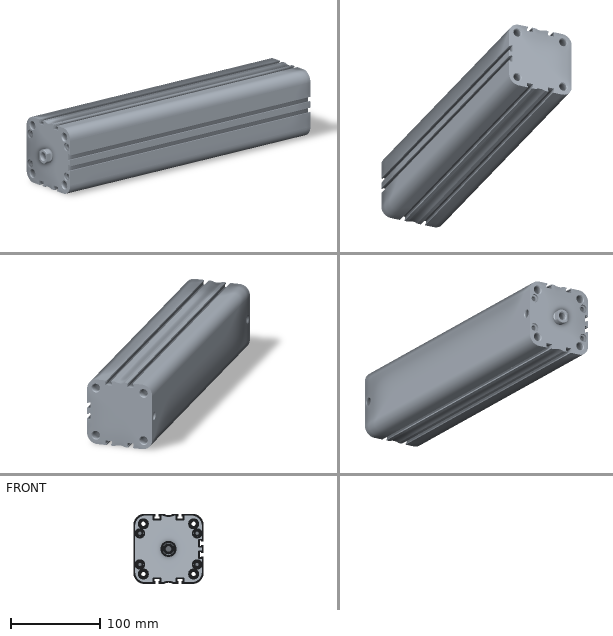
import cadquery as cq

OVERALL_LENGTH = 357.0
BODY_WIDTH = 77.0
CORNER_RADIUS = 12.0
ROD_LENGTH = 8.0
BODY_LENGTH = OVERALL_LENGTH - ROD_LENGTH
HALF_WIDTH = BODY_WIDTH / 2

SLOT_NECK_WIDTH = 5.5
SLOT_WIDTH = 7.5
SLOT_LIP = 1.5
TOP_SLOT_OFFSET = 13.0
TOP_SLOT_DEPTH = 5.5
SIDE_SLOT_OFFSET = 6.5
SIDE_SLOT_DEPTH = 4.3

GROOVE_WIDTH = 11.8
GROOVE_DEPTH = 1.5

CORNER_HOLE_OFFSET = 28.2
CORNER_BORE_DIAMETER = 6.8
CORNER_THREAD_DIAMETER = 8.5
CORNER_THREAD_DEPTH = 16.0
CORNER_MOUTH_DIAMETER = 10.5
CORNER_MOUTH_DEPTH = 1.0

STEPPED_HOLE_X = 32.0
STEPPED_HOLE_Z = 17.5
STEPPED_HOLE_DIAMETER = 9.5
STEPPED_HOLE_DEPTH = 2.0
STEPPED_CORE_DIAMETER = 5.7
STEPPED_CORE_DEPTH = 5.7

PORT_MOUTH_DIAMETER = 9.5
PORT_MOUTH_DEPTH = 0.7
PORT_DIAMETER = 8.5
PORT_DEPTH = 8.0
PORT_CORE_DIAMETER = 4.0
PORT_CORE_DEPTH = 11.5
PORT_CORE_SHIFT = 1.0
FRONT_PORT_INSET = 7.5
REAR_PORT_INSET = 7.0

ROD_DIAMETER = 16.0
ROD_CHAMFER_LENGTH = 1.0
ROD_CHAMFER_DEPTH = 0.5
ROD_COLLAR_LENGTH = 1.0
ROD_FLATS_WIDTH = 13.2
ROD_BORE_DIAMETER = 8.2
ROD_BORE_DEPTH = 16.0
ROD_MOUTH_DIAMETER = 10.5
ROD_MOUTH_DEPTH = 1.0


AXIS_X = cq.Vector(1, 0, 0)
AXIS_Y = cq.Vector(0, 1, 0)


def cylinder(diameter, depth, start, direction):
    """Cylinder from a start point along a direction."""
    return cq.Workplane(cq.Solid.makeCylinder(diameter / 2, depth, start, direction))


def cone_mouth(mouth_diameter, hole_diameter, depth, start, direction):
    """Countersink that narrows from the mouth to the hole."""
    cone = cq.Solid.makeCone(mouth_diameter / 2, hole_diameter / 2, depth, start, direction)
    return cq.Workplane(cone)


def bar(width, height, x, z):
    """Rectangular bar over the full body length, centred on x and z."""
    return cq.Workplane("XY").box(width, BODY_LENGTH, height).translate((x, BODY_LENGTH / 2, z))


def t_slot(offset, depth):
    """T-slot along the body that opens through the top face."""
    neck = bar(SLOT_NECK_WIDTH, depth, offset, HALF_WIDTH - depth / 2)
    foot_height = depth - SLOT_LIP
    foot = bar(SLOT_WIDTH, foot_height, offset, HALF_WIDTH - depth + foot_height / 2)
    return neck.union(foot)


def top_groove():
    """Concave groove in the top face."""
    return (
        cq.Workplane("XZ", origin=(0, BODY_LENGTH, 0))
        .moveTo(-GROOVE_WIDTH / 2, HALF_WIDTH)
        .threePointArc((0, HALF_WIDTH - GROOVE_DEPTH), (GROOVE_WIDTH / 2, HALF_WIDTH))
        .close()
        .extrude(BODY_LENGTH)
    )


def turned(shape, angle):
    """Shape turned about the cylinder axis."""
    return shape.rotate((0, 0, 0), (0, 1, 0), angle)


body = bar(BODY_WIDTH, BODY_WIDTH, 0, 0).edges("|Y").fillet(CORNER_RADIUS)

for side in (-1, 1):
    top_slot = t_slot(side * TOP_SLOT_OFFSET, TOP_SLOT_DEPTH)
    side_slot = t_slot(side * SIDE_SLOT_OFFSET, SIDE_SLOT_DEPTH)
    body = body.cut(top_slot).cut(turned(top_slot, 180)).cut(turned(side_slot, 90))
body = body.cut(top_groove()).cut(turned(top_groove(), 180))

for x in (-CORNER_HOLE_OFFSET, CORNER_HOLE_OFFSET):
    for z in (-CORNER_HOLE_OFFSET, CORNER_HOLE_OFFSET):
        front = cq.Vector(x, 0, z)
        rear = cq.Vector(x, BODY_LENGTH, z)
        body = body.cut(cylinder(CORNER_BORE_DIAMETER, BODY_LENGTH, front, AXIS_Y))
        for start, inward in ((front, AXIS_Y), (rear, -AXIS_Y)):
            thread = cylinder(CORNER_THREAD_DIAMETER, CORNER_THREAD_DEPTH, start, inward)
            mouth = cone_mouth(
                CORNER_MOUTH_DIAMETER, CORNER_THREAD_DIAMETER, CORNER_MOUTH_DEPTH, start, inward
            )
            body = body.cut(thread).cut(mouth)

for x in (-STEPPED_HOLE_X, STEPPED_HOLE_X):
    for z in (-STEPPED_HOLE_Z, STEPPED_HOLE_Z):
        start = cq.Vector(x, 0, z)
        body = body.cut(cylinder(STEPPED_HOLE_DIAMETER, STEPPED_HOLE_DEPTH, start, AXIS_Y))
        body = body.cut(cylinder(STEPPED_CORE_DIAMETER, STEPPED_CORE_DEPTH, start, AXIS_Y))

for port_y, core_y in (
    (FRONT_PORT_INSET, FRONT_PORT_INSET + PORT_CORE_SHIFT),
    (BODY_LENGTH - REAR_PORT_INSET, BODY_LENGTH - REAR_PORT_INSET - PORT_CORE_SHIFT),
):
    port_start = cq.Vector(-HALF_WIDTH, port_y, 0)
    core_start = cq.Vector(-HALF_WIDTH, core_y, 0)
    body = body.cut(cone_mouth(PORT_MOUTH_DIAMETER, PORT_DIAMETER, PORT_MOUTH_DEPTH, port_start, AXIS_X))
    body = body.cut(cylinder(PORT_DIAMETER, PORT_DEPTH, port_start, AXIS_X))
    body = body.cut(cylinder(PORT_CORE_DIAMETER, PORT_CORE_DEPTH, core_start, AXIS_X))


def flat_cutter():
    """Prism that leaves a wrench flat on the +X side, ending in a 45 degree ramp."""
    flat_x = ROD_FLATS_WIDTH / 2
    outer_x = ROD_DIAMETER / 2
    ramp_length = outer_x - flat_x
    return (
        cq.Workplane("XY", origin=(0, 0, -ROD_DIAMETER / 2))
        .polyline(
            [
                (flat_x, -ROD_LENGTH),
                (flat_x, -ROD_COLLAR_LENGTH - ramp_length),
                (outer_x, -ROD_COLLAR_LENGTH),
                (outer_x, -ROD_LENGTH),
            ]
        )
        .close()
        .extrude(ROD_DIAMETER)
    )


rod_tip = cq.Vector(0, -ROD_LENGTH, 0)
rod = cylinder(ROD_DIAMETER, ROD_LENGTH, rod_tip, AXIS_Y)
rod = rod.faces("<Y").chamfer(ROD_CHAMFER_LENGTH, ROD_CHAMFER_DEPTH)
rod = rod.cut(flat_cutter()).cut(turned(flat_cutter(), 180))

rod_bore = cylinder(ROD_BORE_DIAMETER, ROD_BORE_DEPTH, rod_tip, AXIS_Y)
rod_mouth = cone_mouth(ROD_MOUTH_DIAMETER, ROD_BORE_DIAMETER, ROD_MOUTH_DEPTH, rod_tip, AXIS_Y)

result = body.union(rod).cut(rod_bore).cut(rod_mouth)